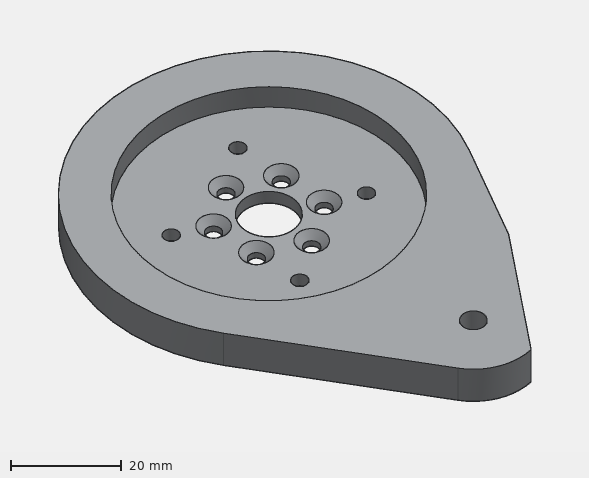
import cadquery as cq
import math

overall_length = 94.3
thickness = 7.9
disc_radius = 38.0

ear_angle = 30.0
tangent_angle = -30.0
tangent_cos = math.cos(math.radians(ear_angle - tangent_angle))
reach_ratio = math.cos(math.radians(ear_angle)) / tangent_cos
ear_reach = overall_length - disc_radius
ear_radius = (reach_ratio * disc_radius - ear_reach) / (reach_ratio - 1)
ear_distance = (disc_radius - ear_radius) / tangent_cos
ear_hole_diameter = 5.0
top_edge_end_x = 23.4
ear_corner_x = 53.8

recess_radius = 28.5
recess_depth = 5.0
floor_thickness = thickness - recess_depth
bore_diameter = 12.1
pin_hole_diameter = 3.3
pin_circle_radius = 18.5
screw_hole_diameter = 3.3
screw_head_diameter = 6.4
screw_circle_radius = 10.5
countersink_angle = 90.0
pin_count = 4
screw_count = 6
first_screw_angle = 30.0


def polar_point(radius, angle, center=(0.0, 0.0)):
    """Point at a radius and an angle in degrees from a center."""
    radians = math.radians(angle)
    return center[0] + radius * math.cos(radians), center[1] + radius * math.sin(radians)


ear_center = polar_point(ear_distance, ear_angle)


def make_plate():
    """Disc with a flat top edge and an ear, extruded to full thickness."""
    corner_rise = math.sqrt(ear_radius**2 - (ear_corner_x - ear_center[0]) ** 2)
    ear_corner = (ear_corner_x, ear_center[1] + corner_rise)
    return (
        cq.Workplane("XY")
        .moveTo(0, disc_radius)
        .lineTo(top_edge_end_x, disc_radius)
        .lineTo(*ear_corner)
        .threePointArc(
            polar_point(ear_radius, 0, ear_center),
            polar_point(ear_radius, tangent_angle, ear_center),
        )
        .lineTo(*polar_point(disc_radius, tangent_angle))
        .threePointArc((-disc_radius, 0), (0, disc_radius))
        .close()
        .extrude(thickness)
    )


def cut_recess(body):
    """Round recess sunk from the top face."""
    cutter = cq.Workplane("XY").workplane(offset=floor_thickness).circle(recess_radius).extrude(recess_depth)
    return body.cut(cutter)


def drill_holes(body):
    """Bore, pin holes, countersunk screw holes and ear hole, all through."""
    recess_floor = cq.Workplane("XY").workplane(offset=floor_thickness)
    top_face = cq.Workplane("XY").workplane(offset=thickness)

    def drill(plane, points, diameter, depth):
        return plane.pushPoints(points).circle(diameter / 2).extrude(-depth)

    pin_points = [polar_point(pin_circle_radius, 360 / pin_count * i) for i in range(pin_count)]
    screw_points = [
        polar_point(screw_circle_radius, first_screw_angle + 360 / screw_count * i) for i in range(screw_count)
    ]

    body = body.cut(drill(recess_floor, [(0, 0)], bore_diameter, floor_thickness))
    body = body.cut(drill(recess_floor, pin_points, pin_hole_diameter, floor_thickness))
    body = body.cut(drill(top_face, [ear_center], ear_hole_diameter, thickness))
    return (
        body.copyWorkplane(recess_floor)
        .pushPoints(screw_points)
        .cskHole(screw_hole_diameter, screw_head_diameter, countersink_angle)
    )


result = drill_holes(cut_recess(make_plate()))